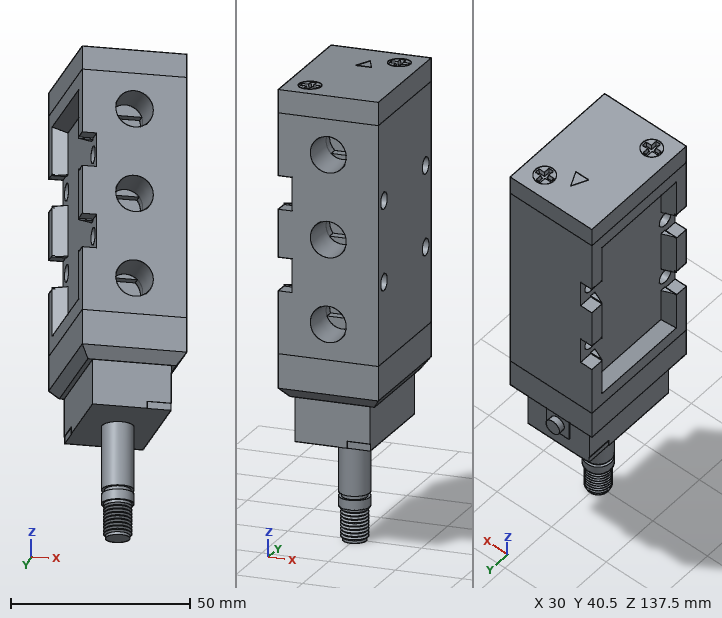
import cadquery as cq


width = 30.0
depth = 40.5
body_height = 71.0
cap_height = 6.9
adapter_straight = 10.2
adapter_bevel = 3.2
pilot_height = 13.2
plug_length = 33

recess_depth = 4.1
recess_width = 31.9
recess_height = 61.8
recess_side_slope = 1.8
recess_end_slope = 2.0
channel_height = 9.9
channel_throat_height = 9.0
mount_radius = 2.5
mount_spacing_y = 31.9
mount_spacing_z = 24.0

port_radius = 5.4
port_floor_radius = 5.0
port_pitch = 25.0
port_depth = 11
slot_depth = 2.7
slot_height = 6.0
outer_slot_height = 5.2
outer_slot_shift = 1.0

screw_x = 8.1
screw_y = 13.5
screw_radius = 3.3
head_recess = 0.1
cross_length = 5.5
cross_width = 1.6
cross_depth = 1.4
cross_taper = 15
arrow_tip_y = 11.8
arrow_base_y = 6.9
arrow_half_width = 2.3
arrow_depth = 0.1

adapter_inset_x = 2.3
adapter_inset_y = 3.0

pilot_width = 22.5
pilot_depth = 34.0
corner_x = 6.9
corner_y = 8.4
corner_height = 2.0
corner_relief = 0.1
button_radius = 2.5
button_length = 2.5
button_drop = 4.4
button_plate = 8.2
button_plate_thickness = 0.4

plug_radius = 4.5
groove_radius = 3.7
groove_start = 18.7
groove_length = 1.2
collar_length = 2.9
thread_radius = 4.0
thread_root_radius = 3.5
thread_pitch = 1.0
thread_count = 9
thread_neck = 0.8

body_middle = body_height / 2
adapter_bottom = -(adapter_straight + adapter_bevel)
pilot_bottom = adapter_bottom - pilot_height


def block(size_x, size_y, bottom, height):
    """Box centred on the Z axis, standing on the given level."""
    return cq.Workplane("XY").workplane(offset=bottom).rect(size_x, size_y).extrude(height)


def make_recess():
    """Rectangular recess in the -X face, narrowing towards its floor."""
    return (
        cq.Workplane("YZ", origin=(-width / 2, 0, body_middle))
        .rect(recess_width, recess_height)
        .workplane(offset=recess_depth)
        .rect(recess_width - 2 * recess_side_slope, recess_height - 2 * recess_end_slope)
        .loft(combine=True)
    )


def make_channel(level):
    """Channel across the -X face, as deep as the recess and lower between the recess edges."""
    side = cq.Workplane("YZ", origin=(-width / 2, 0, level))
    throat = side.rect(depth, channel_throat_height).extrude(recess_depth)
    land_width = (depth - recess_width) / 2
    land_middle = (depth - land_width) / 2
    lands = (
        side.pushPoints([(-land_middle, 0), (land_middle, 0)])
        .rect(land_width, channel_height)
        .extrude(recess_depth)
    )
    return throat.union(lands)


def make_port(level, floor_slot_height, floor_slot_shift):
    """Slightly conical port in the -Y face with a slot across its floor."""
    mouth = cq.Vector(0, -depth / 2, level)
    inward = cq.Vector(0, 1, 0)
    bore = cq.Workplane(cq.Solid.makeCone(port_radius, port_floor_radius, port_depth, mouth, inward))
    floor = cq.Workplane("XZ", origin=(0, port_depth - depth / 2, level))
    slot = floor.center(0, floor_slot_shift).rect(2 * port_radius, floor_slot_height).extrude(-slot_depth)
    slot_ends = floor.circle(port_floor_radius).extrude(-slot_depth)
    return bore.union(slot.intersect(slot_ends))


def make_body():
    body = block(width, depth, 0, body_height).cut(make_recess())
    for side in (-1, 1):
        body = body.cut(make_channel(body_middle + side * mount_spacing_z / 2))
    mounts = (
        cq.Workplane("YZ", origin=(-width / 2, 0, body_middle))
        .rarray(mount_spacing_y, mount_spacing_z, 2, 2)
        .circle(mount_radius)
        .extrude(width)
    )
    body = body.cut(mounts).cut(make_port(body_middle, slot_height, 0))
    for side in (-1, 1):
        port = make_port(body_middle + side * port_pitch, outer_slot_height, -side * outer_slot_shift)
        body = body.cut(port)
    return body


def make_screw_recess(x, y):
    """Shallow round seat with a tapered cross sunk into it."""
    top = cq.Workplane("XY", origin=(x, y, body_height + cap_height))
    seat = top.circle(screw_radius).extrude(-head_recess)
    along_x = top.rect(cross_length, cross_width).extrude(-cross_depth, taper=cross_taper)
    along_y = top.rect(cross_width, cross_length).extrude(-cross_depth, taper=cross_taper)
    return seat.union(along_x).union(along_y)


def make_cap():
    cap = block(width, depth, body_height, cap_height)
    for side in (-1, 1):
        cap = cap.cut(make_screw_recess(side * screw_x, side * screw_y))
    arrow = (
        cq.Workplane("XY", origin=(0, 0, body_height + cap_height))
        .polyline([(-arrow_half_width, arrow_base_y), (arrow_half_width, arrow_base_y), (0, arrow_tip_y)])
        .close()
        .extrude(-arrow_depth)
    )
    return cap.cut(arrow)


def make_adapter():
    """Straight block with a bevelled lower end."""
    bevel = (
        cq.Workplane("XY", origin=(0, 0, -adapter_straight))
        .rect(width, depth)
        .workplane(offset=-adapter_bevel)
        .rect(width - 2 * adapter_inset_x, depth - 2 * adapter_inset_y)
        .loft(combine=True)
    )
    return block(width, depth, -adapter_straight, adapter_straight).union(bevel)


def make_corner_reliefs():
    """Shallow reliefs low on two faces: -Y face at its +X end, -X face at its +Y end."""
    level = pilot_bottom + corner_height / 2
    front_centre = ((pilot_width - corner_x) / 2, -pilot_depth / 2, level)
    side_centre = (-pilot_width / 2, (pilot_depth - corner_y) / 2, level)
    front_relief = cq.Workplane("XY", origin=front_centre).box(corner_x, 2 * corner_relief, corner_height)
    side_relief = cq.Workplane("XY", origin=side_centre).box(2 * corner_relief, corner_y, corner_height)
    return front_relief.union(side_relief)


def make_button():
    """Manual override button and its base plate on the +Y face."""
    face_y = pilot_depth / 2
    plate = cq.Workplane("XY", origin=(0, face_y, adapter_bottom - button_plate / 2)).box(
        button_plate, 2 * button_plate_thickness, button_plate
    )
    button = (
        cq.Workplane("XZ", origin=(0, face_y, adapter_bottom - button_drop))
        .circle(button_radius)
        .extrude(-button_length)
    )
    return plate.union(button)


def make_plug():
    """Turned plug below the pilot: shank, groove, collar and thread ridges."""
    groove_end = groove_start + groove_length
    collar_end = groove_end + collar_length
    thread_start = collar_end + thread_neck
    points = [
        (0, 0),
        (plug_radius, 0),
        (plug_radius, groove_start),
        (groove_radius, groove_start),
        (groove_radius, groove_end),
        (plug_radius, groove_end),
        (plug_radius, collar_end),
        (thread_radius, collar_end),
    ]
    for ridge in range(thread_count):
        crest = thread_start + ridge * thread_pitch
        points.append((thread_radius, crest))
        points.append((thread_root_radius, crest + thread_pitch / 2))
    points.append((thread_root_radius, plug_length))
    points.append((0, plug_length))
    profile = [(radius, pilot_bottom - distance) for radius, distance in points]
    return cq.Workplane("XZ").polyline(profile).close().revolve(360, (0, 0, 0), (0, 1, 0))


def make_pilot():
    pilot = block(pilot_width, pilot_depth, pilot_bottom, pilot_height)
    pilot = pilot.cut(make_corner_reliefs())
    return pilot.union(make_button()).union(make_plug())


body = make_body()
cap = make_cap()
adapter = make_adapter()
pilot = make_pilot()

result = cq.Compound.makeCompound([body.val(), cap.val(), adapter.val(), pilot.val()])